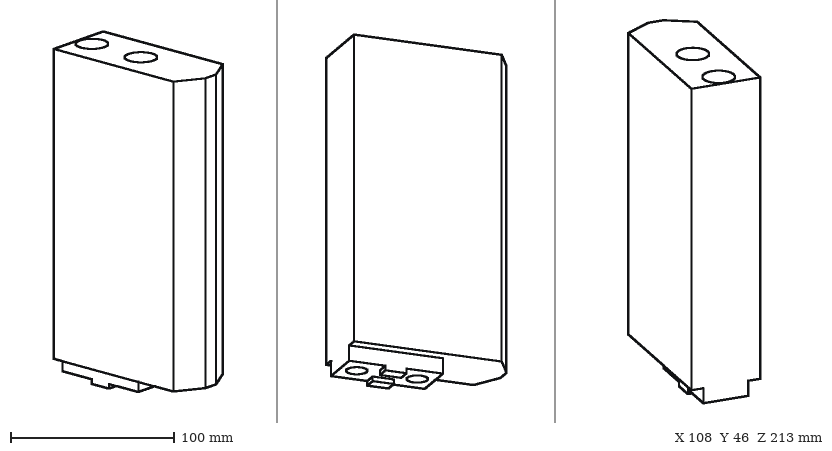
import cadquery as cq
import math

LENGTH = 108.0
WIDTH = 46.0
BODY_HEIGHT = 200.0
NOSE_TIP_WIDTH = 10.0
NOSE_ANGLE = 60.0

FOOT_LENGTH = 62.0
FOOT_WIDTH = 30.0
FOOT_HEIGHT = 10.0

LUG_LENGTH = 14.0
LUG_WIDTH = 9.0
LUG_HEIGHT = 3.0

SCREW_SPACING = 40.0
HOLE_DIAMETER = 13.0
COUNTERBORE_DIAMETER = 20.0
SCREW_SEAT_HEIGHT = 12.0

FOOT_CENTER_X = FOOT_LENGTH / 2


def make_body():
    """Block standing on Z = 0 with its -X face on X = 0."""
    half_width = WIDTH / 2
    half_tip = NOSE_TIP_WIDTH / 2
    nose_length = (half_width - half_tip) / math.tan(math.radians(NOSE_ANGLE))
    shoulder_x = LENGTH - nose_length
    outline = [
        (0, -half_width),
        (shoulder_x, -half_width),
        (LENGTH, -half_tip),
        (LENGTH, half_tip),
        (shoulder_x, half_width),
        (0, half_width),
    ]
    return cq.Workplane("XY").polyline(outline).close().extrude(BODY_HEIGHT)


def make_foot():
    """Flat foot hanging below the body."""
    return (
        cq.Workplane("XY")
        .center(FOOT_CENTER_X, 0)
        .rect(FOOT_LENGTH, FOOT_WIDTH)
        .extrude(-FOOT_HEIGHT)
    )


def make_lugs():
    """Two small blocks under the foot, one along each side."""
    lug_offset = (FOOT_WIDTH - LUG_WIDTH) / 2
    return (
        cq.Workplane("XY", origin=(0, 0, -FOOT_HEIGHT))
        .pushPoints([(FOOT_CENTER_X, side * lug_offset) for side in (-1, 1)])
        .rect(LUG_LENGTH, LUG_WIDTH)
        .extrude(-LUG_HEIGHT)
    )


def drill_screw_holes(part):
    """Vertical through holes with deep counterbores open at the top."""
    return (
        part.faces(">Z")
        .workplane(origin=(FOOT_CENTER_X, 0, BODY_HEIGHT))
        .pushPoints([(side * SCREW_SPACING / 2, 0) for side in (-1, 1)])
        .cboreHole(HOLE_DIAMETER, COUNTERBORE_DIAMETER, BODY_HEIGHT - SCREW_SEAT_HEIGHT)
    )


result = drill_screw_holes(make_body().union(make_foot()).union(make_lugs()))